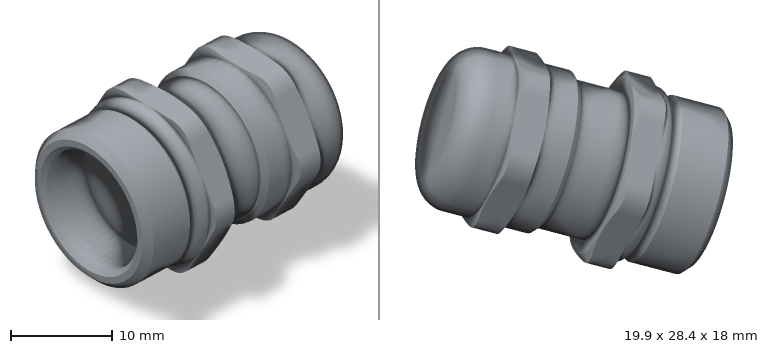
import cadquery as cq
import math

total_length = 28.4

thread_diameter = 17.07
thread_chamfer = 0.8
thread_end = 5.7
relief_diameter = 15.5
relief_length = 0.8

ring_start = thread_end + relief_length
ring_diameter = 18.0
ring_width = 1.45
ring_section_radius = 1.25

body_hex_start = ring_start + ring_width
body_hex_length = 3.0
body_hex_end = body_hex_start + body_hex_length
body_hex_flats = 18.0
body_hex_bevel_angle = 27
neck_diameter = 15.2

nut_start = 16.1
nut_diameter = 16.7
nut_chamfer = 0.55
nut_hex_start = 19.65
nut_hex_length = 3.4
nut_hex_flats = 17.05
nut_hex_bevel_angle = 19
dome_radius = 2.93

hex_corner_radius = 3.0

bore_diameter = 13.0
bore_depth = 5.62
mouth_diameter = 14.03
mouth_depth = (mouth_diameter - bore_diameter) / 2


def across_axis(start):
    """Workplane across the axis at Y = start, extruding toward +Y."""
    return cq.Workplane(cq.Plane(origin=(0, start, 0), xDir=(1, 0, 0), normal=(0, 1, 0)))


def cylinder(diameter, start, end):
    return across_axis(start).circle(diameter / 2).extrude(end - start)


def cone(start_diameter, end_diameter, start, end):
    """Frustum around the Y axis."""
    profile = [(0, start), (start_diameter / 2, start), (end_diameter / 2, end), (0, end)]
    return cq.Workplane("XY").polyline(profile).close().revolve(360, (0, 0, 0), (0, 1, 0))


def hexagon(flats, start, length, bevel_start, bevel_angle, bevel_front):
    """Hexagon with rounded corners, bevelled at the back and optionally at the front."""
    end = start + length
    across_corners = flats / math.cos(math.radians(30))
    prism = across_axis(start).polygon(6, across_corners).extrude(length)
    prism = prism.edges("|Y").fillet(hex_corner_radius)

    taper = 2 * length / math.tan(math.radians(bevel_angle))
    prism = prism.intersect(cone(bevel_start + taper, bevel_start, start, end))
    if bevel_front:
        prism = prism.intersect(cone(bevel_start, bevel_start + taper, start, end))
    return prism


def threaded_end():
    thread = cylinder(thread_diameter, 0, thread_end).faces("<Y").chamfer(thread_chamfer)
    relief = cone(thread_diameter, relief_diameter, thread_end, ring_start)
    return thread.union(relief)


def sealing_ring():
    """Disc whose outer side is an arc bulging outward, cut off by the hexagon face."""
    section_center_x = ring_diameter / 2 - ring_section_radius
    section_center_y = ring_start + ring_section_radius
    rise_to_hex = body_hex_start - section_center_y
    hex_contact_x = section_center_x + math.sqrt(ring_section_radius**2 - rise_to_hex**2)
    diagonal = ring_section_radius * math.sin(math.radians(45))
    profile = (
        cq.Workplane("XY")
        .moveTo(0, ring_start)
        .lineTo(section_center_x, ring_start)
        .threePointArc(
            (section_center_x + diagonal, section_center_y - diagonal),
            (hex_contact_x, body_hex_start),
        )
        .lineTo(0, body_hex_start)
        .close()
    )
    return profile.revolve(360, (0, 0, 0), (0, 1, 0))


def body():
    hex_part = hexagon(
        flats=body_hex_flats,
        start=body_hex_start,
        length=body_hex_length,
        bevel_start=body_hex_flats,
        bevel_angle=body_hex_bevel_angle,
        bevel_front=False,
    )
    return hex_part.union(cylinder(neck_diameter, body_hex_end, nut_start))


def clamping_nut():
    barrel = cylinder(nut_diameter, nut_start, total_length)
    barrel = barrel.faces("<Y").chamfer(nut_chamfer)
    barrel = barrel.faces(">Y").edges().fillet(dome_radius)
    hex_part = hexagon(
        flats=nut_hex_flats,
        start=nut_hex_start,
        length=nut_hex_length,
        bevel_start=nut_diameter,
        bevel_angle=nut_hex_bevel_angle,
        bevel_front=True,
    )
    return barrel.union(hex_part)


def bore():
    mouth = cone(mouth_diameter, bore_diameter, 0, mouth_depth)
    return cylinder(bore_diameter, 0, bore_depth).union(mouth)


result = threaded_end().union(sealing_ring()).union(body()).union(clamping_nut()).cut(bore())